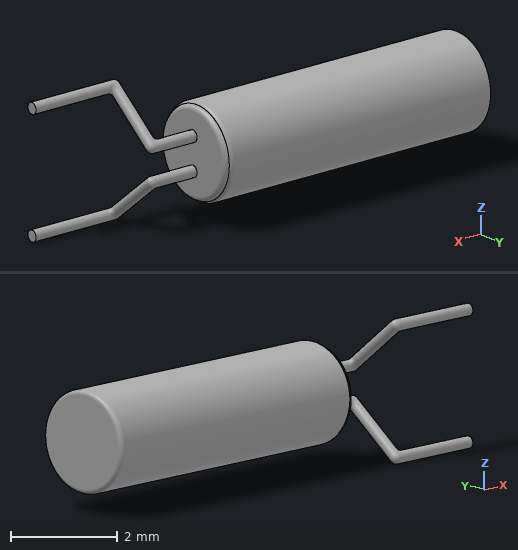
import cadquery as cq

can_diameter = 2.0
can_length = 6.4
can_edge_radius = 0.095
cap_diameter = 1.9
cap_edge_radius = 0.1
housing_length = 6.5

overall_length = 9.5
lead_diameter = 0.25
lead_radius = lead_diameter / 2
lead_root_z = 0.35
lead_tip_z = 1.27
lead_tip_y = -1.12
bend_x = 7.5
inner_bend_radius = 0.095


def make_housing():
    can = cq.Workplane("YZ").circle(can_diameter / 2).extrude(can_length)
    can = can.edges("%CIRCLE").fillet(can_edge_radius)
    cap = cq.Workplane("YZ").workplane(offset=can_length / 2)
    cap = cap.circle(cap_diameter / 2).extrude(housing_length - can_length / 2)
    cap = cap.faces(">X").edges().fillet(cap_edge_radius)
    return can.union(cap)


def wire_segment(start, end):
    direction = end - start
    return cq.Workplane(cq.Solid.makeCylinder(lead_radius, direction.Length, start, direction))


def make_lead(side):
    """Lead on the upper (side = 1) or lower (side = -1) half of the housing."""
    root_z = side * lead_root_z
    tip_z = side * lead_tip_z
    root = cq.Vector(housing_length, 0, root_z)
    first_bend = cq.Vector(bend_x, 0, root_z)
    second_bend = cq.Vector(bend_x, lead_tip_y, tip_z)
    tip = cq.Vector(overall_length, lead_tip_y, tip_z)

    lead = wire_segment(root, first_bend)
    lead = lead.union(wire_segment(first_bend, second_bend))
    lead = lead.union(wire_segment(second_bend, tip))
    for bend in (first_bend, second_bend):
        lead = lead.union(cq.Workplane("XY").sphere(lead_radius).translate(bend))
    return lead.edges("%ELLIPSE").fillet(inner_bend_radius)


housing = make_housing()
leads = [make_lead(side) for side in (1, -1)]

result = cq.Compound.makeCompound([housing.val(), *[lead.val() for lead in leads]])